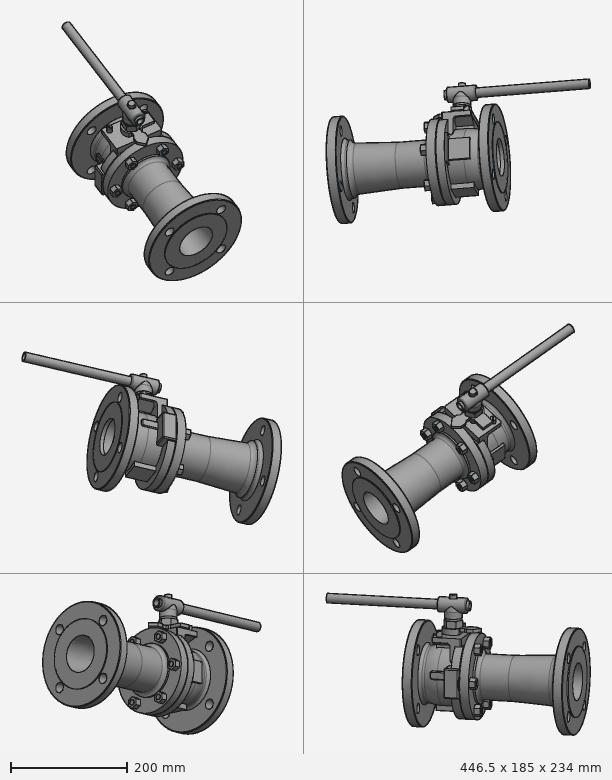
import cadquery as cq
import math


flange_d = 185.0
flange_t = 18.0
flange_edge = 1.5
raised_face_d = 123.2
bolt_hole_d = 18.0
bolt_circle_r = 72.5
bolt_count = 4
first_bolt_angle = 45
left_flange_x = -66.5
left_face_t = 1.5
right_end_x = 222.0
right_face_t = 2.2
left_end_x = left_flange_x - left_face_t
right_flange_x = right_end_x - right_face_t - flange_t

neck_foot_r = 54.0
neck_r = 50.0
neck_start_x = -42.5
neck_end_x = -38.0
barrel_r = 54.0
barrel_x = -14.5
joint_r = 149.5 / 2
joint_start_x = 15.0
joint_x = 31.3
joint_end_x = 47.5
joint_gap = 1.5
joint_gap_depth = 4.5
hub_r = 47.5
hub_len = 3.5
pipe_r = 80.0 / 2
pipe_start_x = 58.0
cone_start_x = 109.0
cone_end_x = 182.0
cone_end_r = 44.0
collar_r = 101.0 / 2
collar_x = 192.5
collar_len = 2.5

port_r = 65.0 / 2
bore_r = 51.0 / 2
port_depth = 7.0
port_cone_len = 14.5

nut_count = 6
nut_circle_r = 61.5
nut_flats = 18.0
nut_h = 10.5
stud_d = 10.0
stud_proud = 1.5

pad_half_x = 26.5
pad_half_y = 45.0
pad_top = 73.5
pad_t = 9.0
pad_bottom = pad_top - pad_t
pad_corner = 2.0
pedestal_x = -25.5
pedestal_top_half_y = 40.0
pedestal_half_y = 18.0
pedestal_foot_z = 56.0
joint_flat_z = 59.5
web_x = 6.3
web_bottom = 29.5
web_point_h = 5.5
web_corner_r = 6.3

block_x = 3.0
block_y = -76.0
block_half_z = 26.5
block_edge = 2.2
lug_x = 12.0
lug_y = 68.0
rib_x = -27.2
rib_y = -56.0
rib_z = 9.0
rib_width = 15.0
rib_edge = 2.0
boss_x = -25.5
boss_half_w = 19.0
foot_z = -60.0
side_boss_y = 55.5

screw_x = -15.5
screw_y = 35.0
screw_d = 10.0
screw_h = 10.3
slot_w = 1.5
slot_depth = 2.2
slot_angle = 45
gland_d = 38.5
gland_flat_x = 14.0
stop_bottom = 78.0
stop_t = 6.3
stop_top = stop_bottom + stop_t
pointer_half_w = 11.5
pointer_neck_half_w = 8.0
pointer_neck_x = 22.5
pointer_wide_x = 27.0
pointer_shoulder_x = 38.0
pointer_tip_x = 50.0
stop_arm_half_w = 11.0
stop_arm_y = 39.5
stem_nut_flats = 29.5
stem_nut_top = 97.5
stem_nut_edge = 1.5
groove_d = 30.0
groove_top = 101.0
stem_neck_d = 31.0
stem_neck_top = 113.5
stem_taper_top = 123.0
stem_taper_d = 27.0

handle_z = 123.2
head_d = 27.0
head_start_x = -26.0
head_end_x = 25.0
head_edge = 2.0
tube_d = 17.0
tube_bore_d = 12.0
tube_start_x = -224.5
tube_end_x = 30.0
pin_d = 7.0
pin_head_d = 12.5
pin_top = 141.5
spot_d = 15.5
spot_z = 135.0


def cylinder_x(x0, x1, diameter, y=0.0, z=0.0):
    """Cylinder along X from x0 to x1."""
    return cq.Workplane("YZ", origin=(x0, y, z)).circle(diameter / 2).extrude(x1 - x0)


def cylinder_z(z0, z1, diameter, x=0.0, y=0.0):
    """Cylinder along Z from z0 to z1."""
    return cq.Workplane("XY", origin=(x, y, z0)).circle(diameter / 2).extrude(z1 - z0)


def box(x0, x1, y0, y1, z0, z1):
    """Box between two opposite corners."""
    return cq.Workplane("XY").box(x1 - x0, y1 - y0, z1 - z0, centered=False).translate((x0, y0, z0))


def hexagon_corner_d(flats):
    """Across-corners size of a hexagon with the given across-flats size."""
    return flats / math.cos(math.pi / 6)


def end_flange(flange_x, face_x0, face_x1):
    """Drilled end flange with its raised sealing face."""
    disc = cylinder_x(flange_x, flange_x + flange_t, flange_d).edges().chamfer(flange_edge)
    holes = (
        cq.Workplane("YZ", origin=(flange_x, 0, 0))
        .polarArray(bolt_circle_r, first_bolt_angle, 360, bolt_count)
        .circle(bolt_hole_d / 2)
        .extrude(flange_t)
    )
    return disc.cut(holes).union(cylinder_x(face_x0, face_x1, raised_face_d))


def flare_radius(run, rise):
    """Radius of an arc that starts parallel to X and climbs by rise over run."""
    return (run**2 + rise**2) / (2 * rise)


def turned_body():
    """Body barrel, joint flanges and outlet pipe as one turned profile."""
    left_foot_x = left_flange_x + flange_t
    left_foot_radius = flare_radius(neck_start_x - left_foot_x, neck_foot_r - neck_r)
    hub_end_x = joint_end_x + hub_len
    hub_radius = flare_radius(pipe_start_x - hub_end_x, hub_r - pipe_r)
    collar_end_x = collar_x + collar_len
    collar_radius = flare_radius(collar_x - cone_end_x, collar_r - cone_end_r)
    right_foot_radius = flare_radius(right_flange_x - collar_end_x, neck_foot_r - collar_r)
    gap_x = joint_x - joint_gap
    gap_r = joint_r - joint_gap_depth
    return (
        cq.Workplane("XY")
        .moveTo(left_flange_x, 0)
        .lineTo(left_flange_x, neck_foot_r)
        .lineTo(left_foot_x, neck_foot_r)
        .radiusArc((neck_start_x, neck_r), -left_foot_radius)
        .lineTo(neck_end_x, neck_r)
        .radiusArc((barrel_x, barrel_r), flare_radius(barrel_x - neck_end_x, barrel_r - neck_r))
        .lineTo(joint_start_x, barrel_r)
        .lineTo(joint_start_x, joint_r)
        .lineTo(gap_x, joint_r)
        .lineTo(gap_x, gap_r)
        .lineTo(joint_x, gap_r)
        .lineTo(joint_x, joint_r)
        .lineTo(joint_end_x, joint_r)
        .lineTo(joint_end_x, hub_r)
        .lineTo(hub_end_x, hub_r)
        .radiusArc((pipe_start_x, pipe_r), -hub_radius)
        .lineTo(cone_start_x, pipe_r)
        .lineTo(cone_end_x, cone_end_r)
        .radiusArc((collar_x, collar_r), -collar_radius)
        .lineTo(collar_end_x, collar_r)
        .radiusArc((right_flange_x, neck_foot_r), -right_foot_radius)
        .lineTo(right_end_x, neck_foot_r)
        .lineTo(right_end_x, 0)
        .close()
        .revolve(360, (0, 0, 0), (1, 0, 0))
    )


def flow_bore():
    """Passage from end to end: stepped inlet, straight ball bore and widening outlet."""
    cone_x = left_end_x + port_depth
    return (
        cq.Workplane("XY")
        .moveTo(left_end_x, 0)
        .lineTo(left_end_x, port_r)
        .lineTo(cone_x, port_r)
        .lineTo(cone_x + port_cone_len, bore_r)
        .lineTo(cone_start_x, bore_r)
        .lineTo(right_end_x, port_r)
        .lineTo(right_end_x, 0)
        .close()
        .revolve(360, (0, 0, 0), (1, 0, 0))
    )


def joint_nuts():
    """Hexagon nuts with stud ends around the joint flange."""
    ring = cq.Workplane("YZ", origin=(joint_end_x, 0, 0)).polarArray(nut_circle_r, 0, 360, nut_count)
    nuts = ring.circle(stud_d / 2).extrude(nut_h + stud_proud)
    for index in range(nut_count):
        angle = 2 * math.pi * index / nut_count
        nut = (
            cq.Workplane("YZ", origin=(joint_end_x, 0, 0))
            .polygon(6, hexagon_corner_d(nut_flats))
            .extrude(nut_h)
            .rotate((0, 0, 0), (1, 0, 0), 90)
            .translate((0, nut_circle_r * math.cos(angle), nut_circle_r * math.sin(angle)))
        )
        nuts = nuts.union(nut)
    return nuts


def joint_clearance():
    """Space cut from the body-side joint flange to make room for the mounting pad."""
    return box(joint_start_x, joint_x, -pad_half_y, pad_half_y, joint_flat_z, joint_r)


def mounting_pad():
    """Flat pad under the stem, thicker against the joint flange, with its pedestal and pointed web."""
    plate = box(-pad_half_x, pad_half_x, -pad_half_y, pad_half_y, pad_bottom, pad_top)
    plate = plate.union(box(joint_start_x, pad_half_x, -pad_half_y, pad_half_y, joint_flat_z, pad_top))
    plate = plate.edges("|Z and (<X or >X)").chamfer(pad_corner)
    pedestal = (
        cq.Workplane("YZ", origin=(pedestal_x, 0, 0))
        .moveTo(-pedestal_half_y, 0)
        .lineTo(-pedestal_half_y, pedestal_foot_z)
        .lineTo(-pedestal_top_half_y, pad_bottom)
        .lineTo(pedestal_top_half_y, pad_bottom)
        .lineTo(pedestal_half_y, pedestal_foot_z)
        .lineTo(pedestal_half_y, 0)
        .close()
        .extrude(joint_start_x - pedestal_x)
    )
    web = (
        cq.Workplane("XZ", origin=(0, pad_half_y, 0))
        .moveTo(web_x - web_corner_r, pad_bottom)
        .radiusArc((web_x, pad_bottom - web_corner_r), web_corner_r)
        .lineTo(web_x, web_bottom + web_point_h)
        .lineTo(web_x + web_point_h / 2, web_bottom)
        .lineTo(joint_start_x, web_bottom + web_point_h)
        .lineTo(joint_start_x, pad_bottom)
        .close()
        .extrude(2 * pad_half_y)
    )
    return plate.union(pedestal).union(web)


def name_block():
    """Rectangular block on the -Y side with bevels around its outer and left faces."""
    block = box(block_x, joint_x - joint_gap, block_y, 0, -block_half_z, block_half_z)
    return block.faces("<Y or <X").edges().chamfer(block_edge)


def body_ribs():
    """Rounded rib on the -Y side, lug and boss on the +Y side and foot under the barrel."""
    rib = box(rib_x, joint_start_x, rib_y, 0, rib_z - rib_width / 2, rib_z + rib_width / 2)
    rib = rib.edges("<X and |Y").fillet(rib_width / 3).faces("<Y").edges().chamfer(rib_edge)
    lug = box(lug_x, joint_start_x, 0, lug_y, -block_half_z, block_half_z)
    foot = box(boss_x, joint_start_x, -boss_half_w, boss_half_w, foot_z, 0)
    side_boss = box(boss_x, joint_start_x, 0, side_boss_y, -boss_half_w, boss_half_w)
    return rib.union(lug).union(foot).union(side_boss)


def pad_screws():
    """Slotted screws on the mounting pad."""
    top = pad_top + screw_h
    screws = cq.Workplane("XY")
    for y in (-screw_y, screw_y):
        screw = cylinder_z(pad_bottom, top, screw_d, screw_x, y)
        slot = cq.Workplane("XY").box(2 * screw_d, slot_w, 2 * slot_depth)
        slot = slot.rotate((0, 0, 0), (0, 0, 1), slot_angle).translate((screw_x, y, top))
        screws = screws.add(screw.cut(slot))
    return screws.combine()


def stop_plate():
    """Gland with a flat on its right, carrying a pointer toward +X and a stop arm toward +Y."""
    gland = cylinder_z(pad_bottom, stop_top, gland_d)
    gland = gland.intersect(box(-gland_d, gland_flat_x, -gland_d, gland_d, 0, stop_top))
    pointer = (
        cq.Workplane("XY", origin=(0, 0, stop_bottom))
        .moveTo(0, -pointer_neck_half_w)
        .lineTo(pointer_neck_x, -pointer_neck_half_w)
        .lineTo(pointer_wide_x, -pointer_half_w)
        .lineTo(pointer_shoulder_x, -pointer_half_w)
        .lineTo(pointer_tip_x, 0)
        .lineTo(pointer_shoulder_x, pointer_half_w)
        .lineTo(pointer_wide_x, pointer_half_w)
        .lineTo(pointer_neck_x, pointer_neck_half_w)
        .lineTo(0, pointer_neck_half_w)
        .close()
        .extrude(stop_t)
    )
    arm = box(-stop_arm_half_w, stop_arm_half_w, 0, stop_arm_y, stop_bottom, stop_top)
    return gland.union(pointer).union(arm)


def stem():
    """Hexagon stem nut, groove and the tapered neck that carries the handle head."""
    corner_d = hexagon_corner_d(stem_nut_flats)
    nut = cq.Workplane("XY", origin=(0, 0, stop_top)).polygon(6, corner_d).extrude(stem_nut_top - stop_top)
    nut = nut.intersect(cylinder_z(stop_top, stem_nut_top, corner_d).edges().chamfer(stem_nut_edge))
    groove = cylinder_z(stem_nut_top, groove_top, groove_d)
    neck = cylinder_z(groove_top, stem_neck_top, stem_neck_d)
    taper = (
        cq.Workplane("XY", origin=(0, 0, stem_neck_top))
        .circle(stem_neck_d / 2)
        .workplane(offset=stem_taper_top - stem_neck_top)
        .circle(stem_taper_d / 2)
        .loft()
    )
    return nut.union(groove).union(neck).union(taper)


def handle():
    """Tubular lever through the head, held by a round-headed pin in a spot-faced seat."""
    head = cylinder_x(head_start_x, head_end_x, head_d, z=handle_z).edges().fillet(head_edge)
    tube = cylinder_x(tube_start_x, tube_end_x, tube_d, z=handle_z)
    tube_bore = cylinder_x(tube_start_x, tube_end_x, tube_bore_d, z=handle_z)
    spot = cylinder_z(spot_z, pin_top, spot_d)
    pin = cylinder_z(handle_z - tube_d / 2, spot_z, pin_d)
    pin_head = cylinder_z(spot_z, pin_top, pin_head_d)
    lever = stem().union(head).union(tube).cut(tube_bore).cut(spot)
    return lever.union(pin).union(pin_head)


result = turned_body().cut(joint_clearance())
for feature in (
    end_flange(left_flange_x, left_end_x, left_flange_x + flange_t),
    end_flange(right_flange_x, right_flange_x, right_end_x),
    mounting_pad(),
    name_block(),
    body_ribs(),
    joint_nuts(),
    pad_screws(),
    stop_plate(),
    handle(),
):
    result = result.union(feature)
result = result.cut(flow_bore())